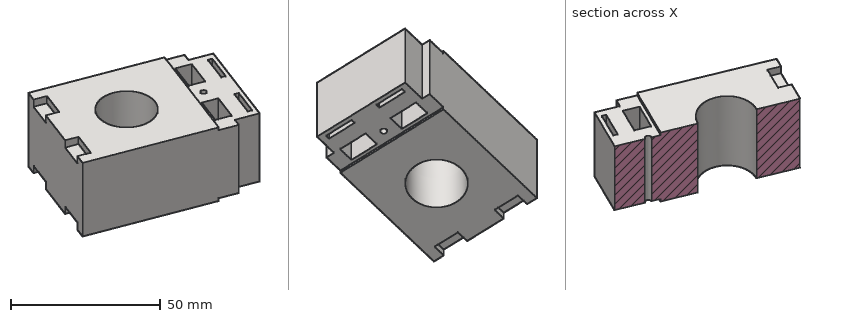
import cadquery as cq

width = 44.3
length = 66.45
height = 30.3

body_length = 50.0
shoulder_end = 57.35
rear_height = 28.05
tongue_width = 37.9

bore_diameter = 21.0
bore_y = 26.1

opening_width = 10.95
opening_offset = 10.8
window_start = 51.3
window_end = shoulder_end
slot_start = 63.25
slot_end = 64.85
pin_hole_diameter = 2.25
pin_hole_y = 54.35

notch_width = 10.05
notch_offset = 12.9
notch_length = 4.9
notch_depth = 3.0


def block(x_center, y_start, y_end, x_size, z_size, z_center=0):
    """Box spanning y_start to y_end, centred on x_center and z_center."""
    y_center = (y_start + y_end) / 2
    return cq.Workplane("XY").box(x_size, y_end - y_start, z_size).translate((x_center, y_center, z_center))


def through_cylinder(y_center, diameter):
    """Vertical cylinder on the middle plane, as tall as the part."""
    return cq.Workplane("XY").center(0, y_center).circle(diameter / 2).extrude(height / 2, both=True)


result = block(0, 0, body_length, width, height)
result = result.union(block(0, 0, shoulder_end, width, rear_height))
result = result.union(block(0, 0, length, tongue_width, rear_height))

result = result.cut(through_cylinder(bore_y, bore_diameter))
result = result.cut(through_cylinder(pin_hole_y, pin_hole_diameter))

notch_z = (height - notch_depth) / 2
for side in (-1, 1):
    opening_x = side * opening_offset
    result = result.cut(block(opening_x, window_start, window_end, opening_width, height))
    result = result.cut(block(opening_x, slot_start, slot_end, opening_width, height))
    for face in (-1, 1):
        notch = block(side * notch_offset, 0, notch_length, notch_width, notch_depth, face * notch_z)
        result = result.cut(notch)